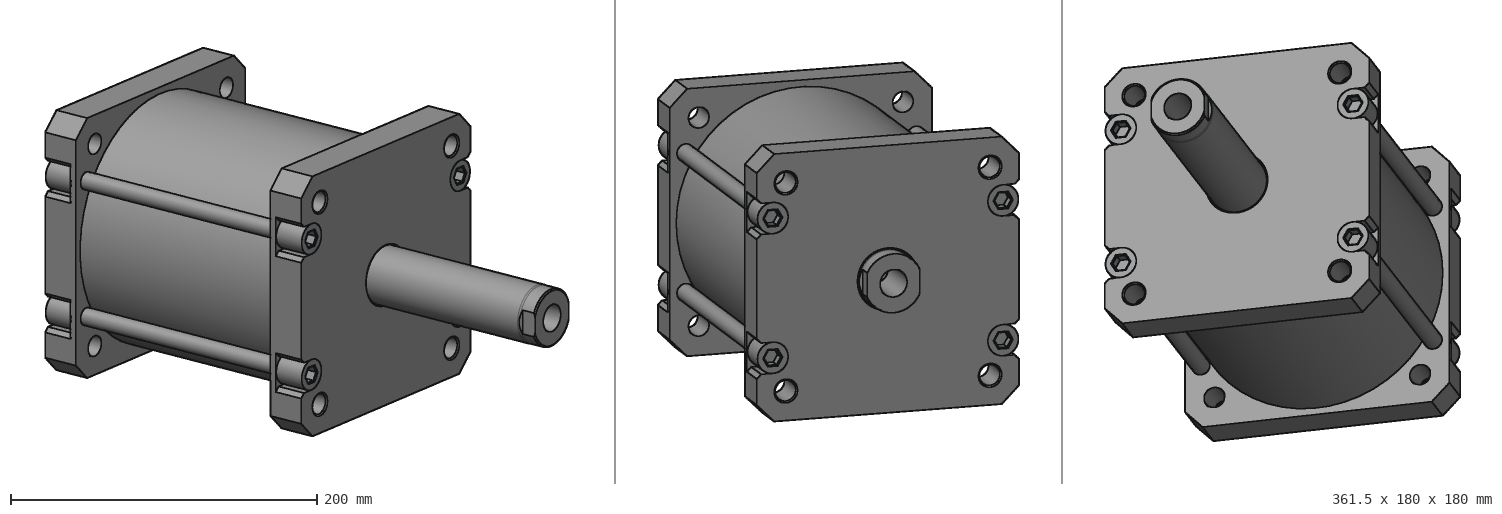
import cadquery as cq
import math

PLATE_THICKNESS = 25.5
BARREL_LENGTH = 161.0
BODY_LENGTH = BARREL_LENGTH + 2 * PLATE_THICKNESS
ROD_REAR_REACH = 12.0
ROD_FRONT_REACH = 137.5

PLATE_SIDE = 180.0
PLATE_CORNER_CHAMFER = 12.0
MOUNT_HOLE_DIAMETER = 14.0
MOUNT_HOLE_SPACING = 140.0
MOUNT_HOLE_CHAMFER = 1.0
ROD_BORE_CHAMFER = 1.0

BARREL_DIAMETER = 171.0

ROD_DIAMETER = 40.0
ROD_TIP_DIAMETER = 39.6
ROD_TIP_LENGTH = 11.5
ROD_TIP_TAPER = 1.5
ROD_FRONT_CHAMFER = 1.0
FLAT_WIDTH = 36.0
FLAT_LENGTH = 10.0
ROD_HOLE_DIAMETER = 18.5
ROD_HOLE_DEPTH = 40.0
DRILL_POINT_ANGLE = 118.0

TIE_Y = 79.0
TIE_Z = 47.0
TIE_DIAMETER = 12.0
HEAD_DIAMETER = 21.0
HEAD_LENGTH = 21.0
SLOT_MOUTH_CHAMFER = 3.0
SOCKET_WIDTH = 10.0
SOCKET_CHAMFER = 0.8
SOCKET_DEPTH = 8.0

TIE_POSITIONS = [(y, z) for y in (-TIE_Y, TIE_Y) for z in (-TIE_Z, TIE_Z)]


def x_cylinder(diameter, x_start, length, y=0.0, z=0.0):
    """Round bar along +X."""
    return cq.Workplane("YZ", origin=(x_start, y, z)).circle(diameter / 2).extrude(length)


def mirror_to_front(body):
    """Mirror a body of the rear end about the middle of the barrel."""
    return body.mirror("YZ", (BODY_LENGTH / 2, 0, 0))


def make_head_slot(y, z):
    """Recess for one bolt head, open at the outer face and at the plate's side, with a flared mouth."""
    side = math.copysign(1, y)
    edge = PLATE_SIDE / 2
    radius = HEAD_DIAMETER / 2
    mouth = radius + SLOT_MOUTH_CHAMFER
    flare_start = side * (edge - SLOT_MOUTH_CHAMFER)
    return (
        cq.Workplane("YZ")
        .moveTo(y, z + radius)
        .lineTo(flare_start, z + radius)
        .lineTo(side * edge, z + mouth)
        .lineTo(side * edge, z - mouth)
        .lineTo(flare_start, z - radius)
        .lineTo(y, z - radius)
        .threePointArc((y - side * radius, z), (y, z + radius))
        .close()
        .extrude(HEAD_LENGTH)
    )


def make_rear_plate():
    """Square end plate with its outer face at x = 0."""
    plate = (
        cq.Workplane("YZ")
        .rect(PLATE_SIDE, PLATE_SIDE)
        .extrude(PLATE_THICKNESS)
        .edges("|X")
        .chamfer(PLATE_CORNER_CHAMFER)
    )
    mount_holes = (
        cq.Workplane("YZ")
        .rect(MOUNT_HOLE_SPACING, MOUNT_HOLE_SPACING, forConstruction=True)
        .vertices()
        .circle(MOUNT_HOLE_DIAMETER / 2)
        .extrude(PLATE_THICKNESS)
    )
    plate = plate.cut(mount_holes)
    plate = plate.edges("%CIRCLE").edges("<X").chamfer(MOUNT_HOLE_CHAMFER)
    plate = plate.cut(x_cylinder(ROD_DIAMETER, 0, PLATE_THICKNESS))
    plate = plate.faces("<X").edges(cq.selectors.RadiusNthSelector(-1)).chamfer(ROD_BORE_CHAMFER)
    for y, z in TIE_POSITIONS:
        plate = plate.cut(make_head_slot(y, z))
        plate = plate.cut(x_cylinder(TIE_DIAMETER, 0, PLATE_THICKNESS, y, z))
    return plate


def make_barrel():
    """Round barrel between the plates, bored for the piston rod."""
    barrel = x_cylinder(BARREL_DIAMETER, PLATE_THICKNESS, BARREL_LENGTH)
    return barrel.cut(x_cylinder(ROD_DIAMETER, PLATE_THICKNESS, BARREL_LENGTH))


def make_rod_flat_cut(x_tip, inward, side):
    """Material removed for one wrench flat; its inner end runs out at 45 degrees."""
    flat_y = side * FLAT_WIDTH / 2
    clear_y = side * ROD_DIAMETER
    runout = ROD_DIAMETER - FLAT_WIDTH / 2
    flat_end = x_tip + inward * FLAT_LENGTH
    return (
        cq.Workplane("XY")
        .polyline(
            [(x_tip, flat_y), (flat_end, flat_y), (flat_end + inward * runout, clear_y), (x_tip, clear_y)]
        )
        .close()
        .extrude(ROD_DIAMETER / 2, both=True)
    )


def make_rod_end_hole(x_tip, inward):
    """Blind drilled hole in a rod end, with a conical bottom."""
    point_length = ROD_HOLE_DIAMETER / 2 / math.tan(math.radians(DRILL_POINT_ANGLE / 2))
    wall_end = x_tip + inward * ROD_HOLE_DEPTH
    return (
        cq.Workplane("XY")
        .polyline(
            [
                (x_tip, 0),
                (x_tip, ROD_HOLE_DIAMETER / 2),
                (wall_end, ROD_HOLE_DIAMETER / 2),
                (wall_end + inward * point_length, 0),
            ]
        )
        .close()
        .revolve(360, (0, 0, 0), (1, 0, 0))
    )


def make_rod():
    """Rod through the whole cylinder, slightly reduced at both tips, with flats and a hole at each end."""
    rear_tip = -ROD_REAR_REACH
    front_tip = BODY_LENGTH + ROD_FRONT_REACH
    radius = ROD_DIAMETER / 2
    tip_radius = ROD_TIP_DIAMETER / 2
    rod = (
        cq.Workplane("XY")
        .polyline(
            [
                (rear_tip, 0),
                (rear_tip, tip_radius),
                (rear_tip + ROD_TIP_LENGTH, tip_radius),
                (rear_tip + ROD_TIP_LENGTH + ROD_TIP_TAPER, radius),
                (front_tip - ROD_TIP_LENGTH - ROD_TIP_TAPER, radius),
                (front_tip - ROD_TIP_LENGTH, tip_radius),
                (front_tip - ROD_FRONT_CHAMFER, tip_radius),
                (front_tip, tip_radius - ROD_FRONT_CHAMFER),
                (front_tip, 0),
            ]
        )
        .close()
        .revolve(360, (0, 0, 0), (1, 0, 0))
    )
    for x_tip, inward in ((rear_tip, 1), (front_tip, -1)):
        rod = rod.cut(make_rod_end_hole(x_tip, inward))
        for side in (-1, 1):
            rod = rod.cut(make_rod_flat_cut(x_tip, inward, side))
    return rod


def make_tie_bolt(y, z):
    """Tie rod with a round socket head at each end, flush with the plates' outer faces."""
    head = x_cylinder(HEAD_DIAMETER, 0, HEAD_LENGTH, y, z)
    socket = (
        cq.Workplane("YZ", origin=(0, y, z))
        .polygon(6, SOCKET_WIDTH / math.cos(math.pi / 6))
        .extrude(SOCKET_DEPTH)
    )
    head = head.cut(socket)
    head = head.faces("<X").edges("%LINE").chamfer(SOCKET_CHAMFER)
    shank = x_cylinder(TIE_DIAMETER, HEAD_LENGTH, BODY_LENGTH - 2 * HEAD_LENGTH, y, z)
    return shank.union(head).union(mirror_to_front(head))


rear_plate = make_rear_plate()
front_plate = mirror_to_front(rear_plate)
barrel = make_barrel()
rod = make_rod()
tie_bolts = [make_tie_bolt(y, z) for y, z in TIE_POSITIONS]

result = cq.Compound.makeCompound(
    [rear_plate.val(), front_plate.val(), barrel.val(), rod.val(), *[bolt.val() for bolt in tie_bolts]]
)